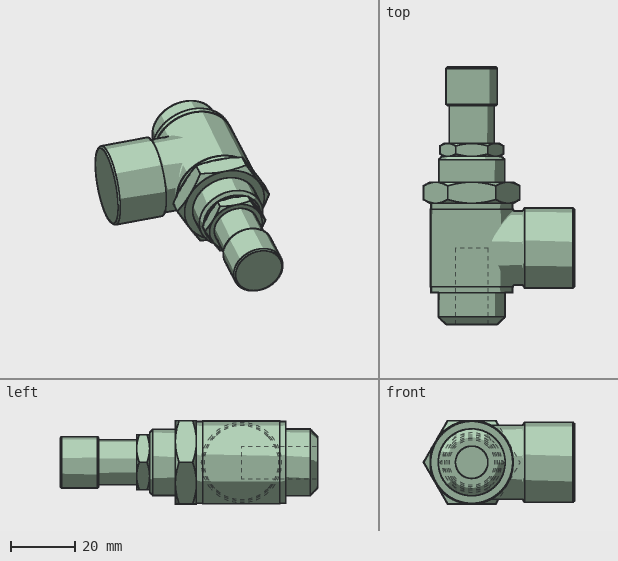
import cadquery as cq
import math

TOTAL_LENGTH = 80.3
BORE_RADIUS = 5.05

NOSE_RADIUS = 10.4
NOSE_TAPER_END = 2.4
TIP_RADIUS = 8.3
TIP_FACE_RADIUS = 7.55
TIP_ROUND_HEIGHT = 0.3

BARREL_START = 9.95
BARREL_RADIUS = 12.9
BAND_RADIUS = 12.8
BAND_LENGTH = 1.9

LARGE_HEX_START = 37.8
LARGE_HEX_END = 44.4
LARGE_HEX_FLATS = 26.0
COLLAR_RADIUS = 10.35
COLLAR_CHAMFER = 1.05
LOCKNUT_START = 52.4
LOCKNUT_END = 56.4
LOCKNUT_FLATS = 17.2
HEX_CHAMFER_ANGLE = 30

STEM_RADIUS = 7.1
KNOB_START = 68.2
KNOB_RADIUS = 8
KNOB_CHAMFER = 0.5

BRANCH_CENTER = (BARREL_START + LARGE_HEX_START) / 2
BRANCH_END = 32.0
NECK_RADIUS = 11.55
NECK_END = 15.65
SOCKET_OVERLAP_START = NECK_END - 0.8
SHOULDER_ROUND_LENGTH = 0.4
SHOULDER_ROUND_RISE = 0.25
SOCKET_RADIUS = 12.5
SOCKET_START = 16.45
SOCKET_END_CHAMFER = 0.6
NECK_FILLET = 0.4
SELECTION_MARGIN = 0.1


def cylinder_y(radius, start, end):
    plane = cq.Plane(origin=(0, start, 0), xDir=(1, 0, 0), normal=(0, 1, 0))
    return cq.Workplane(plane).circle(radius).extrude(end - start)


def hexagon(flats, start, end):
    """Nut with corners on X, its end corners trimmed by cones."""
    corner_radius = flats / 2 / math.cos(math.pi / 6)
    plane = cq.Plane(origin=(0, start, 0), xDir=(1, 0, 0), normal=(0, 1, 0))
    prism = cq.Workplane(plane).polygon(6, 2 * corner_radius).extrude(end - start)
    drop = (corner_radius - flats / 2) * math.tan(math.radians(HEX_CHAMFER_ANGLE))
    envelope = (
        cq.Workplane("XY")
        .polyline([
            (0, start),
            (flats / 2, start),
            (corner_radius, start + drop),
            (corner_radius, end - drop),
            (flats / 2, end),
            (0, end),
        ])
        .close()
        .revolve(360, (0, 0, 0), (0, 1, 0))
    )
    return prism.intersect(envelope)


def nose():
    return (
        cq.Workplane("XY")
        .lineTo(TIP_FACE_RADIUS, 0)
        .tangentArcPoint((TIP_RADIUS, TIP_ROUND_HEIGHT), relative=False)
        .lineTo(NOSE_RADIUS, NOSE_TAPER_END)
        .lineTo(NOSE_RADIUS, BARREL_START)
        .lineTo(0, BARREL_START)
        .close()
        .revolve(360, (0, 0, 0), (0, 1, 0))
    )


def branch_neck():
    return (
        cq.Workplane("YZ")
        .center(BRANCH_CENTER, 0)
        .circle(NECK_RADIUS)
        .extrude(NECK_END)
    )


def branch_socket():
    """Socket with a conical shoulder that blends tangentially into the neck."""
    return (
        cq.Workplane("XY")
        .moveTo(SOCKET_OVERLAP_START, BRANCH_CENTER)
        .lineTo(SOCKET_OVERLAP_START, BRANCH_CENTER + NECK_RADIUS)
        .lineTo(NECK_END, BRANCH_CENTER + NECK_RADIUS)
        .tangentArcPoint(
            (NECK_END + SHOULDER_ROUND_LENGTH, BRANCH_CENTER + NECK_RADIUS + SHOULDER_ROUND_RISE),
            relative=False,
        )
        .lineTo(SOCKET_START, BRANCH_CENTER + SOCKET_RADIUS)
        .lineTo(BRANCH_END - SOCKET_END_CHAMFER, BRANCH_CENTER + SOCKET_RADIUS)
        .lineTo(BRANCH_END, BRANCH_CENTER + SOCKET_RADIUS - SOCKET_END_CHAMFER)
        .lineTo(BRANCH_END, BRANCH_CENTER)
        .close()
        .revolve(360, (SOCKET_OVERLAP_START, BRANCH_CENTER, 0), (BRANCH_END, BRANCH_CENTER, 0))
    )


def barrel_with_neck():
    """Barrel joined to the branch neck with a small fillet along their seam."""
    barrel = cylinder_y(
        BARREL_RADIUS, BARREL_START + BAND_LENGTH, LARGE_HEX_START - BAND_LENGTH
    )
    neck_reach = NECK_RADIUS + SELECTION_MARGIN
    seam_box = cq.selectors.BoxSelector(
        (SELECTION_MARGIN, BRANCH_CENTER - neck_reach, -neck_reach),
        (BARREL_RADIUS + SELECTION_MARGIN, BRANCH_CENTER + neck_reach, neck_reach),
        boundingbox=True,
    )
    return barrel.union(branch_neck()).edges(seam_box).fillet(NECK_FILLET)


band = cylinder_y(BAND_RADIUS, BARREL_START, LARGE_HEX_START)
collar = cylinder_y(COLLAR_RADIUS, LARGE_HEX_END, LOCKNUT_START).faces(">Y").chamfer(COLLAR_CHAMFER)
stem = cylinder_y(STEM_RADIUS, LOCKNUT_END, KNOB_START)
knob = cylinder_y(KNOB_RADIUS, KNOB_START, TOTAL_LENGTH).faces("<Y or >Y").chamfer(KNOB_CHAMFER)

result = (
    barrel_with_neck()
    .union(band)
    .union(nose())
    .union(branch_socket())
    .union(hexagon(LARGE_HEX_FLATS, LARGE_HEX_START, LARGE_HEX_END))
    .union(collar)
    .union(hexagon(LOCKNUT_FLATS, LOCKNUT_START, LOCKNUT_END))
    .union(stem)
    .union(knob)
)

result = result.cut(cylinder_y(BORE_RADIUS, 0, BRANCH_CENTER))